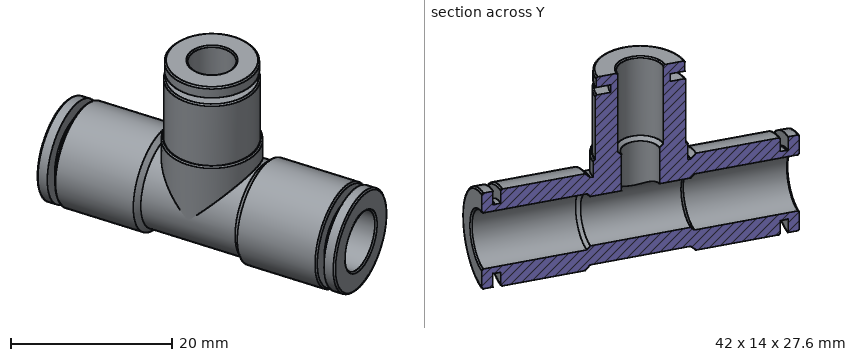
import cadquery as cq

run_length = 42.0
run_core_diameter = 12.6
run_body_diameter = 14.0
run_neck_diameter = 10.0
run_shank_diameter = 9.9
run_collar_diameter = 13.8
run_bore_diameter = 7.0
run_socket_diameter = 8.0
run_mouth_diameter = 8.4
run_body_start = 6.65
run_body_end = 18.5
run_neck_end = 19.25
run_collar_start = 19.5

branch_height = 20.55
branch_core_diameter = 12.6
branch_body_diameter = 12.0
branch_neck_diameter = 8.0
branch_collar_diameter = 11.8
branch_bore_diameter = 5.0
branch_socket_diameter = 6.0
branch_mouth_diameter = 6.4
branch_body_start = 8.75
branch_body_end = 17.98
branch_collar_start = 19.0

edge_chamfer = 0.2
run_end = run_length / 2
AXES = {"-X": (-1, 0, 0), "+X": (1, 0, 0), "+Z": (0, 0, 1)}


def cylinder(direction, diameter, start, end):
    """Solid cylinder along an axis direction, between two distances from the origin."""
    axis = cq.Vector(*AXES[direction])
    solid = cq.Solid.makeCylinder(diameter / 2, end - start, axis * start, axis)
    return cq.Workplane(obj=solid)


def cone(direction, inner_diameter, outer_diameter, start, end):
    """Solid cone along an axis direction, changing diameter between two distances."""
    axis = cq.Vector(*AXES[direction])
    solid = cq.Solid.makeCone(
        inner_diameter / 2, outer_diameter / 2, end - start, axis * start, axis
    )
    return cq.Workplane(obj=solid)


def tube_socket(direction, bore_diameter, socket_diameter, mouth_diameter, start, end):
    """Hollow of a tube socket: conical tube stop, straight wall and lead-in, cones at 45 degrees."""
    wall_start = start + (socket_diameter - bore_diameter) / 2
    tube_stop = cone(direction, bore_diameter, socket_diameter, start, wall_start)
    wall = cylinder(direction, socket_diameter, wall_start, end)
    lead_in_depth = (mouth_diameter - socket_diameter) / 2
    lead_in = cone(direction, socket_diameter, mouth_diameter, end - lead_in_depth, end)
    return tube_stop.union(wall).union(lead_in)


def run_socket(direction):
    """Body, neck, shank and release collar at one end of the run."""
    foot_chamfer = (run_body_diameter - run_core_diameter) / 2
    body = cylinder(direction, run_body_diameter, run_body_start, run_body_end)
    outer_face = ">X" if direction == "+X" else "<X"
    inner_face = "<X" if direction == "+X" else ">X"
    body = body.faces(inner_face).chamfer(foot_chamfer)
    body = body.faces(outer_face).chamfer(edge_chamfer)
    neck = cylinder(direction, run_neck_diameter, run_body_start, run_neck_end)
    shank = cylinder(direction, run_shank_diameter, run_body_start, run_end)
    collar = cylinder(direction, run_collar_diameter, run_collar_start, run_end)
    collar = collar.faces(outer_face).chamfer(edge_chamfer)
    return body.union(neck).union(shank).union(collar)


def branch():
    """Root, body, neck and release collar of the branch."""
    root = cylinder("+Z", branch_core_diameter, 0, branch_body_start)
    root = root.faces(">Z").chamfer(edge_chamfer)
    body = cylinder("+Z", branch_body_diameter, 0, branch_body_end)
    body = body.faces(">Z").chamfer(edge_chamfer)
    neck = cylinder("+Z", branch_neck_diameter, 0, branch_height)
    collar = cylinder("+Z", branch_collar_diameter, branch_collar_start, branch_height)
    collar = collar.faces(">Z").chamfer(edge_chamfer)
    return root.union(body).union(neck).union(collar)


result = cylinder("+X", run_core_diameter, -run_body_end, run_body_end).union(branch())
for side in ("-X", "+X"):
    result = result.union(run_socket(side))

result = result.cut(cylinder("+X", run_bore_diameter, -run_end, run_end))
result = result.cut(cylinder("+Z", branch_bore_diameter, 0, branch_height))
for side in ("-X", "+X"):
    result = result.cut(
        tube_socket(
            side, run_bore_diameter, run_socket_diameter, run_mouth_diameter, run_body_start, run_end
        )
    )
result = result.cut(
    tube_socket(
        "+Z",
        branch_bore_diameter,
        branch_socket_diameter,
        branch_mouth_diameter,
        branch_body_start,
        branch_height,
    )
)